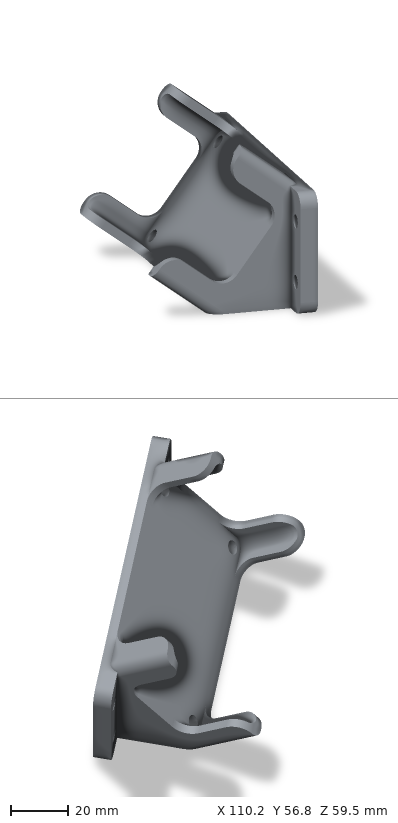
import cadquery as cq
import math

plate_width = 110.2
plate_thickness = 6.4
plate_corner_radius = 5.1
tilt = math.radians(36.9)

tray_width = 87.5
tray_length = 55.3
plate_height = tray_length * math.cos(tilt)
floor_edge_depth = 36.5
wall_height = 25.4
wall_thickness = 3.2
outer_corner_radius = 3.9
inner_corner_radius = 3.9

arm_width = 10.8
arm_radius = 6.4

hole_diameter = 5.1
mount_spacing_x = 98.8
mount_spacing_z = 22.0
tray_hole_spacing_x = 71.9
tray_hole_spacing_slope = 40.1

floor_centre = (
    0,
    -floor_edge_depth + tray_length / 2 * math.sin(tilt),
    plate_height / 2,
)
tray_plane = cq.Plane(
    origin=floor_centre,
    xDir=(1, 0, 0),
    normal=(0, -math.cos(tilt), math.sin(tilt)),
)
clearance = 11.0
block_depth = 2 * floor_edge_depth


def mounting_plate():
    """Upright plate with rounded corners."""
    return (
        cq.Workplane("XZ")
        .center(0, plate_height / 2)
        .rect(plate_width, plate_height)
        .extrude(plate_thickness)
        .edges("|Y")
        .fillet(plate_corner_radius)
    )


def rounded_block(width, length, bottom, top, radius):
    """Block along the tray's facing direction with rounded corners."""
    profile = cq.Sketch().rect(width, length).vertices().fillet(radius)
    return (
        cq.Workplane(tray_plane)
        .workplane(offset=bottom)
        .placeSketch(profile)
        .extrude(top - bottom)
    )


def wedge():
    """Tilted block trimmed flush with the bottom and back of the plate."""
    block = rounded_block(
        tray_width, tray_length, -block_depth, wall_height, outer_corner_radius
    )
    trim_size = 2 * plate_width
    trim = cq.Workplane("XY").box(trim_size, trim_size, trim_size, centered=(True, True, False))
    return block.intersect(trim.translate((0, -trim_size / 2, 0)))


def cavity():
    """Space between the tray walls, open at the front."""
    return rounded_block(
        tray_width - 2 * wall_thickness,
        tray_length - 2 * wall_thickness,
        0,
        wall_height + clearance,
        inner_corner_radius,
    )


def wall_opening(plane, width, reach):
    """Opening down to the floor, with rounded roots and rounded arm tips.

    The plane's x runs along the wall and its y points out of the floor.
    """
    half = width / 2
    r = arm_radius
    diagonal = r * math.sqrt(0.5)
    root = r - diagonal
    return (
        cq.Workplane(plane)
        .moveTo(-half + r, 0)
        .lineTo(half - r, 0)
        .threePointArc((half - root, root), (half, r))
        .lineTo(half, wall_height - r)
        .threePointArc((half + root, wall_height - root), (half + r, wall_height))
        .lineTo(half + r, wall_height + clearance)
        .lineTo(-half - r, wall_height + clearance)
        .lineTo(-half - r, wall_height)
        .threePointArc((-half - root, wall_height - root), (-half, wall_height - r))
        .lineTo(-half, r)
        .threePointArc((-half + root, root), (-half + r, 0))
        .close()
        .extrude(reach, both=True)
    )


def wall_openings():
    """Openings through both long walls and both end walls."""
    slope_direction = tray_plane.yDir
    along_width = cq.Plane(floor_centre, (1, 0, 0), -slope_direction)
    along_slope = cq.Plane(floor_centre, slope_direction, (1, 0, 0))
    long_walls = wall_opening(along_width, tray_width - 2 * arm_width, tray_length)
    end_walls = wall_opening(along_slope, tray_length - 2 * arm_width, tray_width)
    return long_walls.union(end_walls)


def mounting_holes():
    """Four holes through the plate beside the tray."""
    return (
        cq.Workplane("XZ")
        .center(0, plate_height / 2)
        .rect(mount_spacing_x, mount_spacing_z, forConstruction=True)
        .vertices()
        .circle(hole_diameter / 2)
        .extrude(plate_thickness)
    )


def tray_holes():
    """Four holes, round in the tilted floor, running straight back through the plate."""
    return (
        cq.Workplane("XZ")
        .center(0, plate_height / 2)
        .rect(
            tray_hole_spacing_x,
            tray_hole_spacing_slope * math.cos(tilt),
            forConstruction=True,
        )
        .vertices()
        .ellipse(hole_diameter / 2, hole_diameter / 2 * math.cos(tilt))
        .extrude(floor_edge_depth)
    )


body = mounting_plate().union(wedge())
open_tray = body.cut(cavity()).cut(wall_openings())
result = open_tray.cut(mounting_holes()).cut(tray_holes())